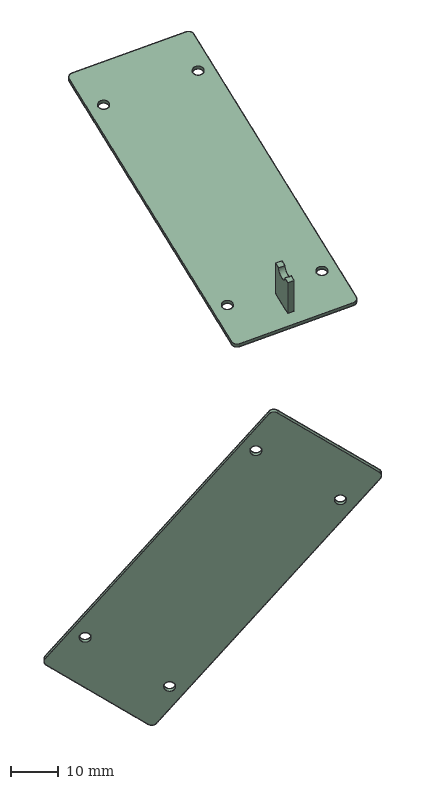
import cadquery as cq

plate_length = 82.5
plate_width = 29.0
plate_thickness = 1.0
corner_radius = 1.25

hole_diameter = 2.5
hole_spacing_x = 61.0
hole_spacing_y = 22.0

total_height = 11.0
post_width = 6.0
post_thickness = 1.5
post_end_gap = 3.2
post_offset_y = 0.24
cradle_radius = 1.55

post_center_x = plate_length / 2 - post_end_gap - post_width / 2


def make_plate():
    """Thin plate with rounded corners and four through holes."""
    return (
        cq.Workplane("XY")
        .rect(plate_length, plate_width)
        .extrude(plate_thickness)
        .edges("|Z")
        .fillet(corner_radius)
        .faces(">Z")
        .workplane()
        .rect(hole_spacing_x, hole_spacing_y, forConstruction=True)
        .vertices()
        .hole(hole_diameter)
    )


def make_post():
    """Upright tab rising from the plate, with a half-round cradle centred on its top edge."""
    left = post_center_x - post_width / 2
    right = post_center_x + post_width / 2
    profile = (
        cq.Workplane("XZ", origin=(0, post_offset_y, 0))
        .moveTo(left, 0)
        .lineTo(right, 0)
        .lineTo(right, total_height)
        .lineTo(post_center_x + cradle_radius, total_height)
        .threePointArc(
            (post_center_x, total_height - cradle_radius),
            (post_center_x - cradle_radius, total_height),
        )
        .lineTo(left, total_height)
        .close()
    )
    return profile.extrude(post_thickness / 2, both=True)


result = make_plate().union(make_post())